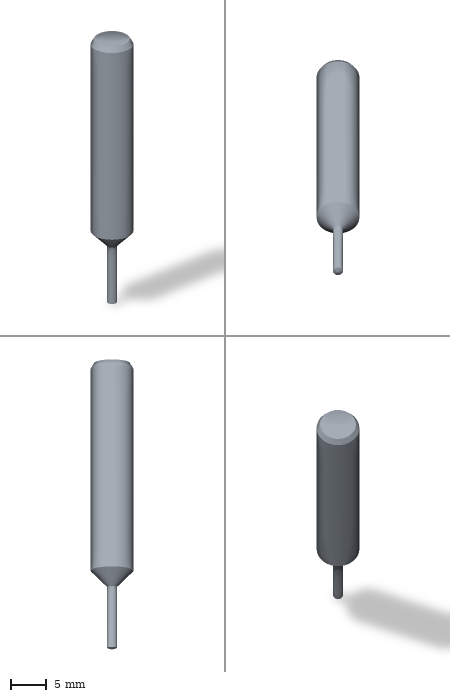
import cadquery as cq
import math

total_length = 41.0
shank_diameter = 6.0
shank_chamfer_height = 0.8
shank_chamfer_width = 0.5
drill_diameter = 1.4
drill_length = 8.98
point_angle = 140.0
neck_half_angle = 45.0

shank_radius = shank_diameter / 2
drill_radius = drill_diameter / 2
point_height = drill_radius / math.tan(math.radians(point_angle / 2))
neck_height = (shank_radius - drill_radius) / math.tan(math.radians(neck_half_angle))
shank_bottom = drill_length + neck_height


def revolve_profile(points):
    """Revolve a closed (radius, height) outline a full turn about the Z axis."""
    return cq.Workplane("XZ").polyline(points).close().revolve(360, (0, 0, 0), (0, 1, 0))


def make_drill():
    """Slender cutting end with a conical point, butting against the neck cone."""
    return revolve_profile([
        (0, 0),
        (drill_radius, point_height),
        (drill_radius, drill_length),
        (0, drill_length),
    ])


def make_shank():
    """Gripping cylinder with a conical neck below and a chamfered top edge."""
    return revolve_profile([
        (0, drill_length),
        (drill_radius, drill_length),
        (shank_radius, shank_bottom),
        (shank_radius, total_length - shank_chamfer_height),
        (shank_radius - shank_chamfer_width, total_length),
        (0, total_length),
    ])


drill = make_drill()
shank = make_shank()

result = cq.Compound.makeCompound([drill.val(), shank.val()])